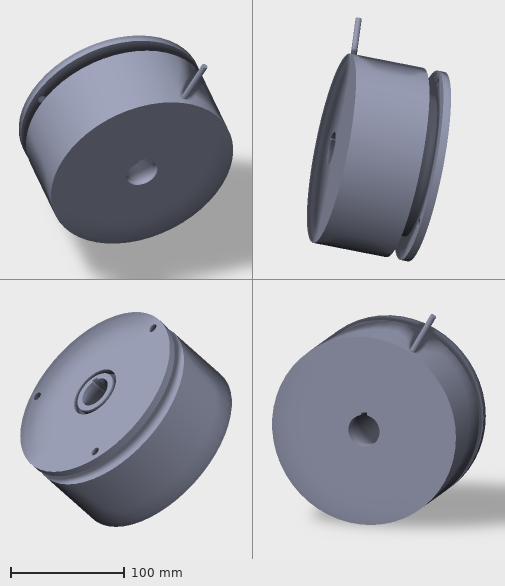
import cadquery as cq
import math

body_diameter = 170.2
neck_diameter = 128.0
total_length = 86.5
flange_thickness = 7.0
neck_length = 12.8

bore_diameter = 28.8
keyway_width = 6.0
keyway_top = 16.6
hub_diameter = 40.0
groove_diameter = 48.0
groove_depth = flange_thickness

hole_diameter = 8.1
hole_circle_radius = 76.0
hole_count = 3
first_hole_angle = -90

cable_diameter = 5.5
cable_x = 78.0
cable_angle = 30
overall_height = 193.2
overall_top = overall_height - body_diameter / 2
cable_tilt = math.radians(cable_angle)
cable_end = (overall_top - cable_diameter / 2 * math.sin(cable_tilt)) / math.cos(cable_tilt)
cable_start = body_diameter / 2 - cable_diameter


def cylinder_x(diameter, start, length, y=0, z=0):
    """Cylinder along +X beginning at x = start."""
    plane = cq.Workplane("YZ", origin=(start, y, z))
    return plane.circle(diameter / 2).extrude(length)


def make_body():
    body_start = flange_thickness + neck_length
    flange = cylinder_x(body_diameter, 0, flange_thickness)
    neck = cylinder_x(neck_diameter, flange_thickness, neck_length)
    drum = cylinder_x(body_diameter, body_start, total_length - body_start)
    return flange.union(neck).union(drum)


def make_hub_groove():
    outer = cylinder_x(groove_diameter, 0, groove_depth)
    return outer.cut(cylinder_x(hub_diameter, 0, groove_depth))


def make_keyed_bore():
    bore = cylinder_x(bore_diameter, 0, total_length)
    keyway = cq.Workplane("XY").box(total_length, keyway_width, keyway_top, centered=(False, True, False))
    return bore.union(keyway)


def make_cable():
    cable_direction = (0, math.sin(cable_tilt), math.cos(cable_tilt))
    start_point = (cable_x, cable_start * cable_direction[1], cable_start * cable_direction[2])
    plane = cq.Plane(origin=start_point, xDir=(1, 0, 0), normal=cable_direction)
    return cq.Workplane(plane).circle(cable_diameter / 2).extrude(cable_end - cable_start)


result = make_body().cut(make_hub_groove()).cut(make_keyed_bore())

for index in range(hole_count):
    angle = math.radians(first_hole_angle + index * 360 / hole_count)
    hole_y = hole_circle_radius * math.cos(angle)
    hole_z = hole_circle_radius * math.sin(angle)
    result = result.cut(cylinder_x(hole_diameter, 0, flange_thickness, hole_y, hole_z))

result = result.union(make_cable())